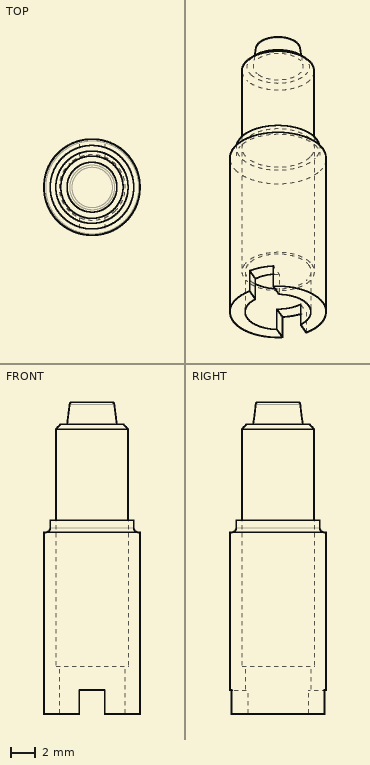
import cadquery as cq

total_height = 25.9
sleeve_diameter = 8.0
sleeve_shoulder_z = 15.1
collar_diameter = 6.95
collar_height = 1.0
collar_root_radius = 0.4

slot_width = 2.1
slot_depth = 2.0
lower_bore_diameter = 5.46

plunger_diameter = 6.0
plunger_seat_z = 2 * slot_depth
plunger_chamfer = 0.41
tip_height = 1.81
tip_base_diameter = 4.15
tip_top_diameter = 3.68
tip_edge_radius = 0.18


def make_sleeve():
    """Stepped sleeve with a filleted collar, a stepped bore and a slotted lower end."""
    sleeve_radius = sleeve_diameter / 2
    collar_radius = collar_diameter / 2
    collar_top_z = sleeve_shoulder_z + collar_height
    outer_profile = (
        cq.Workplane("XZ")
        .lineTo(sleeve_radius, 0)
        .lineTo(sleeve_radius, sleeve_shoulder_z)
        .lineTo(collar_radius + collar_root_radius, sleeve_shoulder_z)
        .radiusArc((collar_radius, sleeve_shoulder_z + collar_root_radius), collar_root_radius)
        .lineTo(collar_radius, collar_top_z)
        .lineTo(0, collar_top_z)
        .close()
    )
    outer = outer_profile.revolve(360, (0, 0, 0), (0, 1, 0))
    lower_bore = cq.Workplane("XY").circle(lower_bore_diameter / 2).extrude(plunger_seat_z)
    plunger_bore = (
        cq.Workplane("XY", origin=(0, 0, plunger_seat_z))
        .circle(plunger_diameter / 2)
        .extrude(collar_top_z - plunger_seat_z)
    )
    slot = cq.Workplane("XY").rect(slot_width, sleeve_diameter).extrude(slot_depth)
    return outer.cut(lower_bore).cut(plunger_bore).cut(slot)


def make_plunger():
    """Chamfered cylinder seated in the sleeve, ending in a tapered, rounded tip."""
    tip_base_z = total_height - tip_height
    shaft = (
        cq.Workplane("XY", origin=(0, 0, plunger_seat_z))
        .circle(plunger_diameter / 2)
        .extrude(tip_base_z - plunger_seat_z)
        .faces(">Z")
        .chamfer(plunger_chamfer)
    )
    tip = (
        cq.Workplane("XY", origin=(0, 0, tip_base_z))
        .circle(tip_base_diameter / 2)
        .workplane(offset=tip_height)
        .circle(tip_top_diameter / 2)
        .loft()
        .faces(">Z")
        .fillet(tip_edge_radius)
    )
    return shaft.union(tip)


sleeve = make_sleeve()
plunger = make_plunger()

result = cq.Compound.makeCompound([sleeve.solids().val(), plunger.solids().val()])